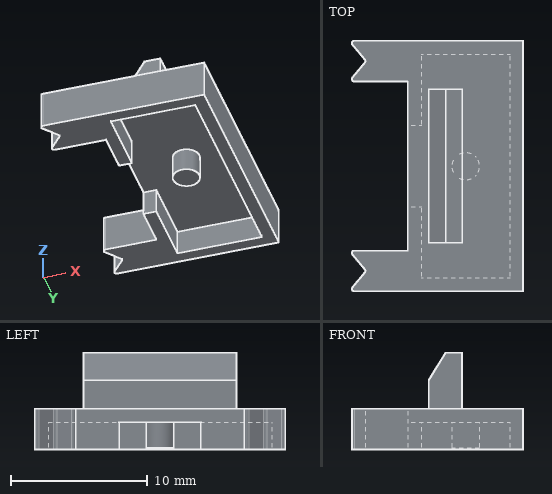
import cadquery as cq
import math

length_x = 12.59
length_y = 18.4
plate_height = 3.0
arm_width = 3.0
crossbar_front = 4.1

notch_angle = 50.0
notch_round = 0.18

rib_front = 5.65
rib_back = 8.1
rib_length = 11.25
rib_top = 7.12
bevel_start_height = 5.1
bevel_end_x = 6.88

wall = 1.0
hollow_height = 2.0
opening_width = 6.0
pin_diameter = 2.0
pin_clearance = 0.15

half_y = length_y / 2
arm_inner = half_y - arm_width
arm_center = half_y - arm_width / 2


def make_plate():
    slope = math.radians(notch_angle)
    sharp_tip = notch_round - notch_round / math.tan(slope / 2)
    notch_bottom = sharp_tip + arm_width / 2 / math.tan(slope)
    outline = [
        (length_x, -half_y),
        (length_x, half_y),
        (sharp_tip, half_y),
        (notch_bottom, arm_center),
        (sharp_tip, arm_inner),
        (crossbar_front, arm_inner),
        (crossbar_front, -arm_inner),
        (sharp_tip, -arm_inner),
        (notch_bottom, -arm_center),
        (sharp_tip, -half_y),
    ]
    plate = cq.Workplane("XY").polyline(outline).close().extrude(plate_height)
    arm_ends = cq.selectors.BoxSelector(
        (sharp_tip - wall, -length_y, 0), (crossbar_front - wall, length_y, plate_height)
    )
    return plate.edges("|Z").edges(arm_ends).fillet(notch_round)


def make_rib():
    profile = [
        (rib_front, hollow_height),
        (rib_front, bevel_start_height),
        (bevel_end_x, rib_top),
        (rib_back, rib_top),
        (rib_back, hollow_height),
    ]
    return cq.Workplane("XZ").polyline(profile).close().extrude(rib_length / 2, both=True)


def block(x_start, x_end, width):
    """Block of the hollow's height, centred on Y = 0."""
    return (
        cq.Workplane("XY")
        .box(x_end - x_start, width, hollow_height, centered=(False, True, False))
        .translate((x_start, 0, 0))
    )


hollow_front = crossbar_front + wall
hollow_back = length_x - wall
hollow = block(hollow_front, hollow_back, length_y - 2 * wall)
opening = block(crossbar_front, hollow_front, opening_width)

pin = (
    cq.Workplane("XY", origin=((hollow_front + hollow_back) / 2, 0, pin_clearance))
    .circle(pin_diameter / 2)
    .extrude(hollow_height - pin_clearance)
)

result = make_plate().cut(hollow).cut(opening).union(make_rib()).union(pin)